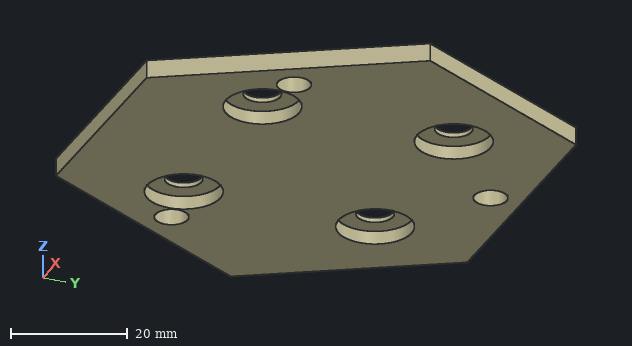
import cadquery as cq
import math

width = 89.8
thickness = 3.3
back_edge = 48.9
front_edge = width - back_edge
flank_slope = math.tan(math.radians(60))
back_depth = (width - back_edge) / 2 * flank_slope
front_depth = (width - front_edge) / 2 * flank_slope

pattern_center_y = -2.15
square_pitch = 35.4
square_hole_diameter = 6.55
counterbore_diameter = 13.5
lip_thickness = 0.9
triangle_radius = 31.8
triangle_hole_diameter = 5.9
triangle_start_angle = 90


def make_plate():
    corners = [
        (-width / 2, 0),
        (-front_edge / 2, -front_depth),
        (front_edge / 2, -front_depth),
        (width / 2, 0),
        (back_edge / 2, back_depth),
        (-back_edge / 2, back_depth),
    ]
    return cq.Workplane("XY").polyline(corners).close().extrude(thickness)


def hole_plane(plate):
    return plate.faces(">Z").workplane(origin=(0, pattern_center_y, 0))


def drill_square_pattern(plate):
    counterbores = (
        cq.Workplane("XY", origin=(0, pattern_center_y, 0))
        .rarray(square_pitch, square_pitch, 2, 2)
        .circle(counterbore_diameter / 2)
        .extrude(thickness - lip_thickness)
    )
    drilled = (
        hole_plane(plate)
        .rarray(square_pitch, square_pitch, 2, 2)
        .hole(square_hole_diameter)
    )
    return drilled.cut(counterbores)


def drill_triangle_pattern(plate):
    return (
        hole_plane(plate)
        .polarArray(triangle_radius, triangle_start_angle, 360, 3)
        .hole(triangle_hole_diameter)
    )


result = drill_triangle_pattern(drill_square_pattern(make_plate()))